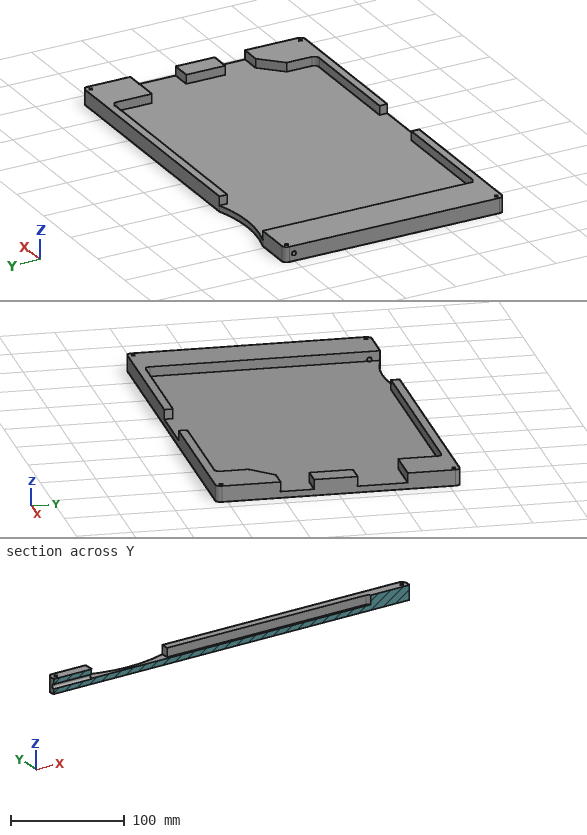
import cadquery as cq

length = 373.0
width = 220.0
height = 15.0
corner_radius = 5.0

recess_depth = 9.0
floor_height = height - recess_depth
rim = 8.0
side_margin = 40.0
recess_right = length - side_margin
recess_radius = 5.0

front_gap_start = 157.5
front_gap_length = 59.0
scoop_end = 120.0
scoop_depth = 6.7

back_block_width = 47.7
front_block_width = 58.0
block_chamfer = 20.0
stop_length = 19.8
stop_width = 39.0
stop_start = 88.0

screw_hole_diameter = 3.0
screw_hole_inset = 5.2
screw_hole_depth = recess_depth
side_hole_diameter = 4.0
side_hole_from_back = 9.7
side_hole_height = 7.5


def box(x, y, z, size_x, size_y, size_z):
    """Box given by its lowest corner and its sizes."""
    return cq.Workplane("XY").box(size_x, size_y, size_z, centered=False).translate((x, y, z))


def make_recess():
    """Main recess plus its openings at the front, back and right."""
    recess = box(
        side_margin, rim, floor_height,
        recess_right - side_margin, width - 2 * rim, recess_depth,
    ).edges("|Z").fillet(recess_radius)
    front_gap = box(front_gap_start, 0, floor_height, front_gap_length, 2 * rim, recess_depth)
    back_gap = box(
        side_margin, width - 2 * rim, floor_height,
        scoop_end - side_margin, 2 * rim, recess_depth,
    )
    right_opening = (
        cq.Workplane("XY", origin=(0, 0, floor_height))
        .moveTo(recess_right - recess_radius, front_block_width - block_chamfer)
        .lineTo(recess_right, front_block_width - block_chamfer)
        .lineTo(recess_right + block_chamfer, front_block_width)
        .lineTo(length, front_block_width)
        .lineTo(length, width - back_block_width)
        .lineTo(recess_right - recess_radius, width - back_block_width)
        .close()
        .extrude(recess_depth)
    )
    return recess.union(front_gap).union(back_gap).union(right_opening)


def make_scoop():
    """Shallow finger scoop through the full height of the back edge."""
    return (
        cq.Workplane("XY")
        .moveTo(side_margin, width)
        .threePointArc(((side_margin + scoop_end) / 2, width - scoop_depth), (scoop_end, width))
        .close()
        .extrude(height)
    )


def make_screw_holes():
    """Blind holes in the top at the four corners."""
    return (
        cq.Workplane("XY", origin=(length / 2, width / 2, height))
        .rect(length - 2 * screw_hole_inset, width - 2 * screw_hole_inset, forConstruction=True)
        .vertices()
        .circle(screw_hole_diameter / 2)
        .extrude(-screw_hole_depth)
    )


def make_side_hole():
    """Hole from the left face through the left margin into the recess."""
    return (
        cq.Workplane("YZ", origin=(0, width - side_hole_from_back, side_hole_height))
        .circle(side_hole_diameter / 2)
        .extrude(side_margin)
    )


tray = box(0, 0, 0, length, width, height).edges("|Z").fillet(corner_radius)
stop = box(length - stop_length, stop_start, floor_height, stop_length, stop_width, recess_depth)

result = (
    tray.cut(make_recess())
    .union(stop)
    .cut(make_scoop())
    .cut(make_screw_holes())
    .cut(make_side_hole())
)